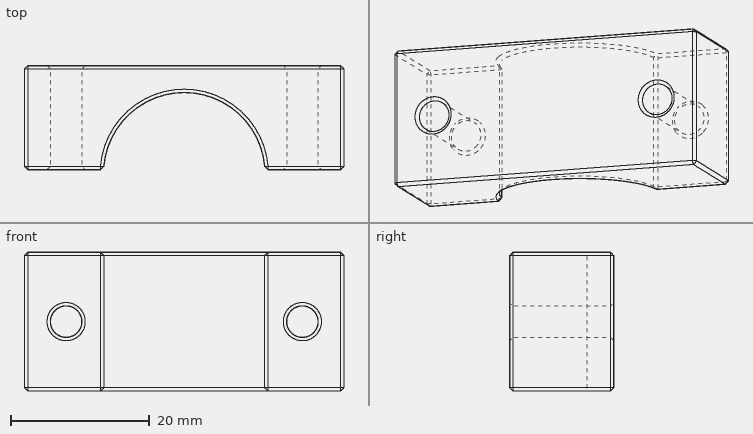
import cadquery as cq

length = 46.0
depth = 15.0
height = 20.0
edge_chamfer = 0.5

seat_radius = 11.6
seat_axis_gap = 0.5

hole_diameter = 4.5
hole_spacing = 34.0

front_y = -depth / 2
back_y = depth / 2
seat_axis_y = front_y - seat_axis_gap


def make_saddle():
    """Block with the round seat cut out and all its edges chamfered."""
    block = cq.Workplane("XY").box(length, depth, height)
    seat = (
        cq.Workplane("XY")
        .center(0, seat_axis_y)
        .circle(seat_radius)
        .extrude(height, both=True)
    )
    return block.cut(seat).edges().chamfer(edge_chamfer)


def make_bolt_hole(x):
    """Through-hole along Y, countersunk at both faces."""
    hole_radius = hole_diameter / 2
    mouth_radius = hole_radius + edge_chamfer
    profile = [
        (0, front_y),
        (mouth_radius, front_y),
        (hole_radius, front_y + edge_chamfer),
        (hole_radius, back_y - edge_chamfer),
        (mouth_radius, back_y),
        (0, back_y),
    ]
    hole = cq.Workplane("XY").polyline(profile).close().revolve(360, (0, 0), (0, 1))
    return hole.translate((x, 0, 0))


result = make_saddle()
for side in (-1, 1):
    result = result.cut(make_bolt_hole(side * hole_spacing / 2))